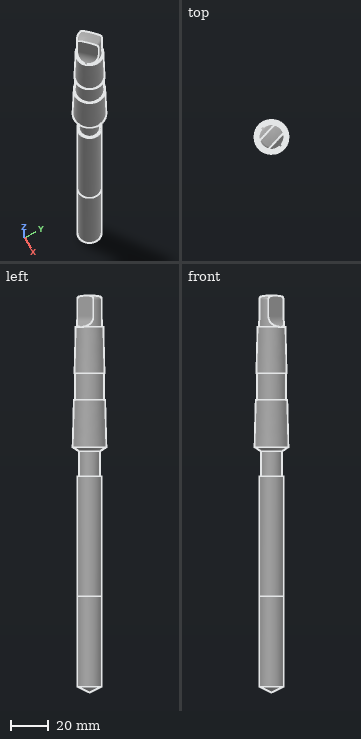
import cadquery as cq
import math

total_length = 209.5
joint_z = 51.0
body_top_z = 114.2
neck_top_z = 127.2
collar_z = 129.5
relief_bottom_z = 154.5
relief_top_z = 168.5
tang_base_z = 193.0

drill_diameter = 13.0
neck_diameter = 11.1
collar_diameter = 18.0
relief_diameter = 15.5
tang_diameter = 13.5

point_height = 3.1
taper_ratio = 1 / 20
tang_thickness = 6.5
tang_angle = 47.0
tang_run_out_radius = 6.0
tang_flat_bottom_z = 198.5
dome_height = 0.8
tang_rim_radius = 1.7


def taper_radius(z):
    """Radius of the shank cone at height z."""
    return (collar_diameter - taper_ratio * (z - collar_z)) / 2


def make_cutting_end():
    """Lower part of the drill: a cylinder with a conical point."""
    radius = drill_diameter / 2
    profile = (
        cq.Workplane("XZ")
        .moveTo(0, 0)
        .lineTo(radius, point_height)
        .lineTo(radius, joint_z)
        .lineTo(0, joint_z)
        .close()
    )
    return profile.revolve(360, (0, 0, 0), (0, 1, 0))


def make_shank_blank():
    """Round shank: body, neck, relieved taper and tang with a domed end."""
    body_radius = drill_diameter / 2
    neck_radius = neck_diameter / 2
    relief_radius = relief_diameter / 2
    tang_radius = tang_diameter / 2
    dome_edge_z = total_length - dome_height
    dome_radius = (tang_radius**2 + dome_height**2) / (2 * dome_height)
    half_sweep = math.asin(tang_radius / dome_radius) / 2
    dome_mid_r = dome_radius * math.sin(half_sweep)
    dome_mid_z = total_length - dome_radius * (1 - math.cos(half_sweep))
    profile = (
        cq.Workplane("XZ")
        .moveTo(0, joint_z)
        .lineTo(body_radius, joint_z)
        .lineTo(body_radius, body_top_z)
        .lineTo(neck_radius, body_top_z)
        .lineTo(neck_radius, neck_top_z)
        .lineTo(collar_diameter / 2, collar_z)
        .lineTo(taper_radius(relief_bottom_z), relief_bottom_z)
        .lineTo(relief_radius, relief_bottom_z)
        .lineTo(relief_radius, relief_top_z)
        .lineTo(taper_radius(relief_top_z), relief_top_z)
        .lineTo(taper_radius(tang_base_z), tang_base_z)
        .lineTo(tang_radius, tang_base_z)
        .lineTo(tang_radius, dome_edge_z)
        .threePointArc((dome_mid_r, dome_mid_z), (0, total_length))
        .close()
    )
    blank = profile.revolve(360, (0, 0, 0), (0, 1, 0))
    return blank.faces(">Z").edges("%CIRCLE").fillet(tang_rim_radius)


def make_flat_cutter(side_angle):
    """Material removed beside the tang: a flat that curves outward at its lower end."""
    half_thickness = tang_thickness / 2
    outer = collar_diameter
    arc_center_r = half_thickness + tang_run_out_radius
    arc_mid_offset = tang_run_out_radius * math.sqrt(0.5)
    profile = (
        cq.Workplane("XZ")
        .moveTo(half_thickness, total_length)
        .lineTo(half_thickness, tang_flat_bottom_z)
        .threePointArc(
            (arc_center_r - arc_mid_offset, tang_flat_bottom_z - arc_mid_offset),
            (arc_center_r, tang_flat_bottom_z - tang_run_out_radius),
        )
        .lineTo(outer, tang_flat_bottom_z - tang_run_out_radius)
        .lineTo(outer, total_length)
        .close()
    )
    cutter = profile.extrude(collar_diameter, both=True)
    return cutter.rotate((0, 0, 0), (0, 0, 1), side_angle)


def make_shank():
    """Shank with two opposite flats milled on the tang."""
    shank = make_shank_blank()
    for side in (-90, 90):
        shank = shank.cut(make_flat_cutter(tang_angle + side))
    return shank


cutting_end = make_cutting_end()
shank = make_shank()

result = cq.Compound.makeCompound([cutting_end.val(), shank.val()])